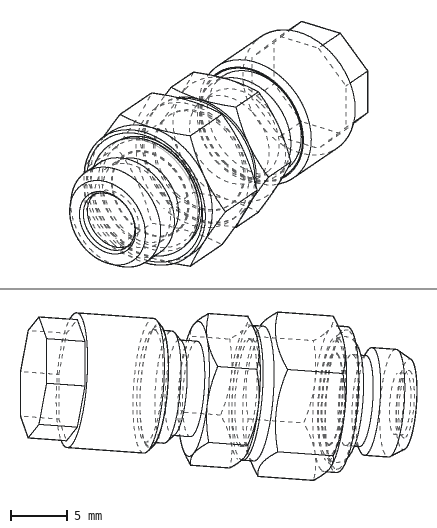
import cadquery as cq
import math


stud_radius = 4.8
stud_neck_radius = 4.05
stud_tip_length = 1.3
stud_tip_angle = math.radians(30)
stud_thread_end = 3.5
stud_neck_start = 4.0

bore_mouth_radius = 3.0
bore_radius = 2.75
bore_chamfer_depth = bore_mouth_radius - bore_radius
bore_depth = 0.9

ring_section_radius = 0.95
ring_centre_radius = 4.65
ring_front = 5.05
ring_centre = ring_front + ring_section_radius
recess_mouth_radius = 6.2
recess_floor_radius = 5.5
recess_depth = 0.9

collar_front = 5.9
large_hex_flats = 13.0
large_hex_start = 7.0

sleeve_radius = 6.0
sleeve_start = 13.5
sleeve_end = 14.5

gap_neck_radius = 4.8
small_hex_flats = 12.0
small_hex_start = 14.75
small_hex_end = 19.4
rear_neck_radius = 4.25

spigot_radius = 5.0
spigot_cone_end = 21.75
spigot_cone_start = spigot_cone_end - (spigot_radius - rear_neck_radius)
cap_radius = 6.0
cap_chamfer = 0.5
cap_front = 23.0
cap_end = 30.5
cap_recess_radius = 5.4
cap_recess_depth = cap_recess_radius - spigot_radius

octagon_sides = 8
octagon_flats = 10.0
total_length = 34.0

hex_sides = 6
hex_chamfer_slope = math.tan(math.radians(30))
chamfer_clearance = 1.0


def turned(*points):
    """Revolve a polygon of (radius, station) points around the Y axis."""
    outline = cq.Workplane("XY").polyline(points).close()
    return outline.revolve(360, (0, 0, 0), (0, 1, 0))


def cone(start_radius, end_radius, start, end):
    return turned((0, start), (start_radius, start), (end_radius, end), (0, end))


def cylinder(radius, start, end):
    return cone(radius, radius, start, end)


def prism(sides, across_flats, start, end, turn=0):
    """Regular prism along Y; without a turn, one corner points along +X."""
    corner_diameter = across_flats / math.cos(math.pi / sides)
    bar = cq.Workplane("XZ", origin=(0, start, 0)).polygon(sides, corner_diameter).extrude(start - end)
    return bar.rotate((0, 0, 0), (0, 1, 0), turn)


def chamfered_hexagon(across_flats, start, end, rear_radius):
    """Hexagon with 30 degree cones on its corners.

    The front cone leaves the front face on the inscribed circle; the rear
    cone meets the rear face at rear_radius.
    """
    front_radius = across_flats / 2
    outer_radius = across_flats / math.sqrt(3) + chamfer_clearance
    front_run = (outer_radius - front_radius) * hex_chamfer_slope
    rear_run = (outer_radius - rear_radius) * hex_chamfer_slope
    envelope = turned(
        (0, start),
        (front_radius, start),
        (outer_radius, start + front_run),
        (outer_radius, end - rear_run),
        (rear_radius, end),
        (0, end),
    )
    return prism(hex_sides, across_flats, start, end).intersect(envelope)


def make_stud():
    tip_radius = stud_radius - stud_tip_length * math.tan(stud_tip_angle)
    body = turned(
        (0, 0),
        (tip_radius, 0),
        (stud_radius, stud_tip_length),
        (stud_radius, stud_thread_end),
        (stud_neck_radius, stud_neck_start),
        (stud_neck_radius, large_hex_start),
        (0, large_hex_start),
    )
    bore_chamfer = cone(bore_mouth_radius, bore_radius, 0, bore_chamfer_depth)
    bore = cylinder(bore_radius, 0, bore_depth)
    return body.cut(bore_chamfer).cut(bore)


def make_collar():
    collar = cylinder(large_hex_flats / 2, collar_front, large_hex_start)
    recess = cone(recess_mouth_radius, recess_floor_radius, collar_front, collar_front + recess_depth)
    return collar.cut(recess)


def make_sealing_ring():
    section = cq.Workplane("XY").center(ring_centre_radius, ring_centre).circle(ring_section_radius)
    return section.revolve(360, (-ring_centre_radius, 0, 0), (-ring_centre_radius, 1, 0))


def make_hexagons():
    large_hex = chamfered_hexagon(large_hex_flats, large_hex_start, sleeve_start, sleeve_radius)
    sleeve = cylinder(sleeve_radius, sleeve_start, sleeve_end)
    gap_neck = cylinder(gap_neck_radius, sleeve_end, small_hex_start)
    small_hex = chamfered_hexagon(small_hex_flats, small_hex_start, small_hex_end, small_hex_flats / 2)
    return large_hex.union(sleeve).union(gap_neck).union(small_hex)


def make_spigot():
    return turned(
        (0, small_hex_end),
        (rear_neck_radius, small_hex_end),
        (rear_neck_radius, spigot_cone_start),
        (spigot_radius, spigot_cone_end),
        (spigot_radius, cap_end),
        (0, cap_end),
    )


def make_cap():
    shell = cylinder(cap_radius, cap_front, cap_end).faces("<Y").chamfer(cap_chamfer)
    recess = cone(cap_recess_radius, spigot_radius, cap_front, cap_front + cap_recess_depth)
    return shell.cut(recess)


def make_octagon():
    half_sector = 360 / octagon_sides / 2
    return prism(octagon_sides, octagon_flats, cap_end, total_length, half_sector)


result = (
    make_stud()
    .union(make_collar())
    .union(make_sealing_ring())
    .union(make_hexagons())
    .union(make_spigot())
    .union(make_cap())
    .union(make_octagon())
)